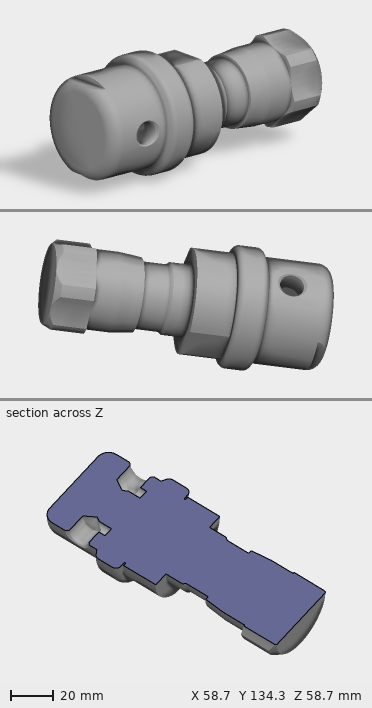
import cadquery as cq
import math

LENGTH = 134.3
CUT_CLEARANCE = 1.3

SPIGOT_END = 32.5
FLANGE_RIM_START = 36.5
FLANGE_END = 47.7
COLLAR_START = 48.2
COLLAR_END = 67.4
NECK_CHAMFER_START = 77.1
NECK_CHAMFER_END = 78.5
SLEEVE_START = 91.2
SLEEVE_TAPER_END = 102.5
NUT_START = 115.1

BODY_R = 25.4
FLANGE_DIAMETER = 58.7
FLANGE_R = FLANGE_DIAMETER / 2
UNDERCUT_R = 23.5
NECK_R = 17.3
WAIST_R = 16.1
SLEEVE_SMALL_R = 18.0
SLEEVE_R = 19.2
NUT_R = 22.2

NOSE_FILLET = 6.3
FLANGE_FILLET = 3.0
FLANGE_BEVEL_ANGLE = 60.0
NUT_CHAMFER = 3.0

NOSE_FLAT_LENGTH = 6.0
NOSE_FLAT_HEIGHT = 22.2
COLLAR_FLAT_HEIGHT = 23.5

SCALLOP_COUNT = 6
SCALLOP_FIRST_ANGLE = 10.0
SCALLOP_SPAN = 44.5
SCALLOP_MIDDLE_R = 19.3

HOLE_STATION = 21.2
HOLE_R = 5.8
HOLE_MOUTH_R = 7.1
HOLE_WALL_END_X = 13.4
HOLE_TIP_ANGLE = 118.0
CHANNEL_R = 2.4
CHANNEL_RISE = 0.4
CHANNEL_LENGTH = 9.4


def arc_point(center, radius, angle):
    """Point on an arc at the given angle in degrees."""
    a = math.radians(angle)
    return (center[0] + radius * math.cos(a), center[1] + radius * math.sin(a))


def make_body():
    nose_center = (BODY_R - NOSE_FILLET, NOSE_FILLET)
    flange_center = (FLANGE_R - FLANGE_FILLET, FLANGE_END - FLANGE_FILLET)
    rim_center = (FLANGE_R - FLANGE_FILLET, FLANGE_RIM_START)
    return (
        cq.Workplane("XY")
        .lineTo(nose_center[0], 0)
        .threePointArc(arc_point(nose_center, NOSE_FILLET, -45), (BODY_R, NOSE_FILLET))
        .lineTo(BODY_R, SPIGOT_END)
        .lineTo(*arc_point(rim_center, FLANGE_FILLET, -FLANGE_BEVEL_ANGLE))
        .threePointArc(
            arc_point(rim_center, FLANGE_FILLET, -FLANGE_BEVEL_ANGLE / 2),
            (FLANGE_R, FLANGE_RIM_START),
        )
        .lineTo(FLANGE_R, FLANGE_END - FLANGE_FILLET)
        .threePointArc(
            arc_point(flange_center, FLANGE_FILLET, 45),
            (FLANGE_R - FLANGE_FILLET, FLANGE_END),
        )
        .lineTo(UNDERCUT_R, FLANGE_END)
        .lineTo(UNDERCUT_R, COLLAR_START)
        .lineTo(BODY_R, COLLAR_START)
        .lineTo(BODY_R, COLLAR_END)
        .lineTo(NECK_R, COLLAR_END)
        .lineTo(NECK_R, NECK_CHAMFER_START)
        .lineTo(WAIST_R, NECK_CHAMFER_END)
        .lineTo(WAIST_R, SLEEVE_START)
        .lineTo(SLEEVE_SMALL_R, SLEEVE_START)
        .lineTo(SLEEVE_R, SLEEVE_TAPER_END)
        .lineTo(SLEEVE_R, NUT_START)
        .lineTo(NUT_R, NUT_START)
        .lineTo(NUT_R, LENGTH - NUT_CHAMFER)
        .lineTo(NUT_R - NUT_CHAMFER, LENGTH)
        .lineTo(0, LENGTH)
        .close()
        .revolve(360, (0, 0, 0), (0, 1, 0))
    )


def make_flat_cutters(start, end, height):
    """Slabs above +height and below -height between two axial stations."""
    width = FLANGE_DIAMETER
    slab = (
        cq.Workplane("XY")
        .box(width, end - start, BODY_R, centered=(True, False, False))
        .translate((0, start, height))
    )
    return slab.union(slab.mirror("XY"))


def make_scallop_cutter(angle):
    """Concave wrench face whose middle comes closest to the axis."""
    half_span = math.radians(SCALLOP_SPAN / 2)
    edge_x = NUT_R * math.cos(half_span)
    edge_z = NUT_R * math.sin(half_span)
    outer_x = NUT_R + CUT_CLEARANCE
    length = LENGTH - NUT_START
    cutter = (
        cq.Workplane("XZ", origin=(0, LENGTH, 0))
        .moveTo(edge_x, -edge_z)
        .threePointArc((SCALLOP_MIDDLE_R, 0), (edge_x, edge_z))
        .lineTo(outer_x, edge_z)
        .lineTo(outer_x, -edge_z)
        .close()
        .extrude(length)
    )
    return cutter.rotate((0, 0, 0), (0, 1, 0), -angle)


def make_hole_cutter():
    """Countersunk hole on the +X side, with a drill-point floor and a channel towards +Y."""
    tip_depth = HOLE_R / math.tan(math.radians(HOLE_TIP_ANGLE / 2))
    mouth_depth = HOLE_MOUTH_R - HOLE_R
    outer_x = BODY_R + CUT_CLEARANCE
    hole = (
        cq.Workplane("XY")
        .moveTo(HOLE_WALL_END_X - tip_depth, HOLE_STATION)
        .lineTo(HOLE_WALL_END_X, HOLE_STATION + HOLE_R)
        .lineTo(BODY_R - mouth_depth, HOLE_STATION + HOLE_R)
        .lineTo(BODY_R, HOLE_STATION + HOLE_MOUTH_R)
        .lineTo(outer_x, HOLE_STATION + HOLE_MOUTH_R)
        .lineTo(outer_x, HOLE_STATION)
        .close()
        .revolve(360, (0, HOLE_STATION, 0), (1, HOLE_STATION, 0))
    )
    channel = (
        cq.Workplane("XZ", origin=(HOLE_WALL_END_X + CHANNEL_RISE, HOLE_STATION, 0))
        .circle(CHANNEL_R)
        .extrude(-CHANNEL_LENGTH)
    )
    return hole.union(channel)


part = make_body()
part = part.cut(make_flat_cutters(0, NOSE_FLAT_LENGTH, NOSE_FLAT_HEIGHT))
part = part.cut(make_flat_cutters(COLLAR_START, COLLAR_END, COLLAR_FLAT_HEIGHT))

for index in range(SCALLOP_COUNT):
    part = part.cut(make_scallop_cutter(SCALLOP_FIRST_ANGLE + index * 360 / SCALLOP_COUNT))

hole_cutter = make_hole_cutter()
part = part.cut(hole_cutter).cut(hole_cutter.mirror("YZ"))

result = part